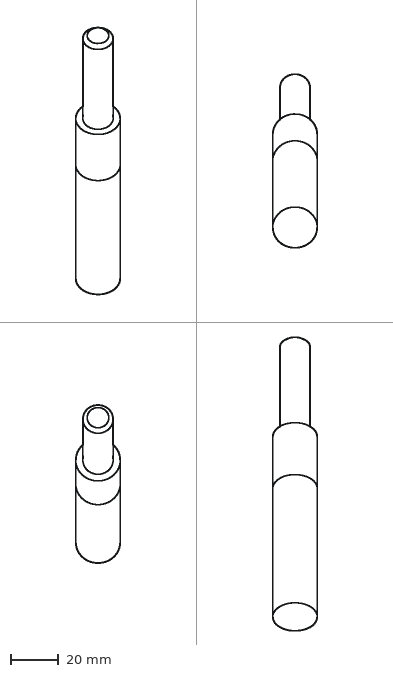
import cadquery as cq
import math

total_length = 152.4
body_diameter = 18.6
shank_diameter = 12.6
shank_length = 50.0
collar_length = 27.9
point_angle = 118.0
chamfer_height = 1.7
chamfer_width = 1.8

body_radius = body_diameter / 2
shank_radius = shank_diameter / 2
point_height = body_radius / math.tan(math.radians(point_angle / 2))
shoulder_level = total_length - shank_length
joint_level = shoulder_level - collar_length


def revolve_profile(points):
    """Turn a closed (radius, height) outline about the Z axis."""
    return cq.Workplane("XZ").polyline(points).close().revolve(360, (0, 0, 0), (0, 1, 0))


def make_tip():
    """Lower cylinder ending in a conical point."""
    return revolve_profile([
        (0, 0),
        (body_radius, point_height),
        (body_radius, joint_level),
        (0, joint_level),
    ])


def make_shank():
    """Full-diameter collar with a slimmer chamfered shank above it."""
    return revolve_profile([
        (0, joint_level),
        (body_radius, joint_level),
        (body_radius, shoulder_level),
        (shank_radius, shoulder_level),
        (shank_radius, total_length - chamfer_height),
        (shank_radius - chamfer_width, total_length),
        (0, total_length),
    ])


tip = make_tip()
shank = make_shank()

result = cq.Compound.makeCompound([tip.val(), shank.val()])